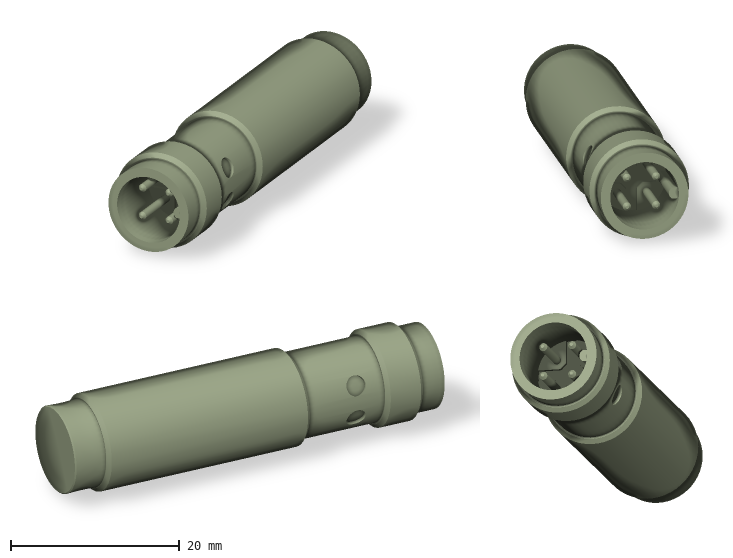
import cadquery as cq
import math

LENGTH = 49.0
FRONT_Y = -LENGTH / 2
REAR_Y = LENGTH / 2

BARREL_DIA = 12.0
NECK_DIA = 10.6
EDGE_CHAMFER = 0.5
COLLAR_START = 3.0
COLLAR_END = 8.0
BARREL_START = 18.0
CAP_LENGTH = 4.0
CAP_END_DIA = 10.8
CAP_WAIST_DIA = 10.65
CAP_CHAMFER = 0.15

WINDOW_DIA = 2.5
WINDOW_POSITION = 11.5
WINDOW_ANGLE = 24.0

INSERT_DIA = 9.75
INSERT_LENGTH = BARREL_START
SOCKET_DIA = 8.3
SOCKET_DEPTH = 8.35

GROOVE_WIDTH = 1.3
GROOVE_DEPTH = 0.5
GROOVE_CORNER = 0.7
KEYED_ARM_REACH = 2.95

KEY_WIDTH = 1.3
KEY_NOSE_DIA = 1.5
KEY_REACH = 3.05
KEY_SETBACK = 0.6

PIN_DIA = 1.0
PIN_TIP_DIA = 0.4
PIN_TIP_LENGTH = 0.4
PIN_SETBACK = 1.6
PIN_OFFSET = 1.75


def plane_at(depth):
    """Plane across the part at a depth behind the connector face; its normal faces -Y."""
    return cq.Plane(origin=(0, FRONT_Y + depth, 0), xDir=(1, 0, 0), normal=(0, -1, 0))


def rod(diameter, start, end):
    """Cylinder on the Y axis between two depths behind the connector face."""
    return cq.Workplane(plane_at(end)).circle(diameter / 2).extrude(end - start)


def chamfered_rod(start, end):
    """Full-diameter cylinder between two depths, chamfered at both ends."""
    return rod(BARREL_DIA, start, end).edges().chamfer(EDGE_CHAMFER)


def make_cap():
    """Rear cap with a slightly waisted side and a small chamfer at its end."""
    base_y = REAR_Y - CAP_LENGTH
    side_end_y = REAR_Y - CAP_CHAMFER
    end_radius = CAP_END_DIA / 2
    return (
        cq.Workplane("XY")
        .moveTo(0, base_y)
        .lineTo(end_radius, base_y)
        .threePointArc((CAP_WAIST_DIA / 2, (base_y + side_end_y) / 2), (end_radius, side_end_y))
        .lineTo(end_radius - CAP_CHAMFER, REAR_Y)
        .lineTo(0, REAR_Y)
        .close()
        .revolve(360, (0, 0, 0), (0, 1, 0))
    )


def make_window(angle):
    """Radial cutter for one window, at an angle from +X about the Y axis."""
    return (
        cq.Workplane("YZ")
        .center(FRONT_Y + WINDOW_POSITION, 0)
        .circle(WINDOW_DIA / 2)
        .extrude(BARREL_DIA / 2)
        .rotate((0, 0, 0), (0, 1, 0), angle)
    )


def make_housing():
    """Stepped tube with collar, barrel and cap, bored from the front for the insert."""
    housing = (
        rod(NECK_DIA, 0, BARREL_START + EDGE_CHAMFER)
        .union(chamfered_rod(COLLAR_START, COLLAR_END))
        .union(chamfered_rod(BARREL_START, LENGTH - CAP_LENGTH))
        .union(make_cap())
        .cut(rod(INSERT_DIA, 0, INSERT_LENGTH))
    )
    for side in (0, 180):
        for tilt in (-WINDOW_ANGLE, WINDOW_ANGLE):
            housing = housing.cut(make_window(side + tilt))
    return housing


def make_groove():
    """Cross-shaped cutter with a chamfered centre; its +X arm stops short of the key."""
    arm_length = SOCKET_DIA / 2
    floor = cq.Workplane(plane_at(SOCKET_DEPTH + GROOVE_DEPTH))
    diamond_dia = 2 * (GROOVE_WIDTH + GROOVE_CORNER)
    upright = floor.rect(GROOVE_WIDTH, 2 * arm_length).extrude(GROOVE_DEPTH)
    crossbar = (
        floor.center((KEYED_ARM_REACH - arm_length) / 2, 0)
        .rect(KEYED_ARM_REACH + arm_length, GROOVE_WIDTH)
        .extrude(GROOVE_DEPTH)
    )
    middle = floor.polygon(4, diamond_dia).extrude(GROOVE_DEPTH)
    socket_bore = rod(SOCKET_DIA, SOCKET_DEPTH, SOCKET_DEPTH + GROOVE_DEPTH)
    return upright.union(crossbar).union(middle).intersect(socket_bore)


def make_key():
    """Round-nosed rib along the socket wall, reaching into the insert wall."""
    half_width = KEY_WIDTH / 2
    nose_radius = KEY_NOSE_DIA / 2
    root_x = (SOCKET_DIA + INSERT_DIA) / 4
    side_x = KEY_REACH + nose_radius - math.sqrt(nose_radius**2 - half_width**2)
    return (
        cq.Workplane(plane_at(SOCKET_DEPTH))
        .moveTo(root_x, -half_width)
        .lineTo(side_x, -half_width)
        .threePointArc((KEY_REACH, 0), (side_x, half_width))
        .lineTo(root_x, half_width)
        .close()
        .extrude(SOCKET_DEPTH - KEY_SETBACK)
    )


def make_pin(x, z):
    """Contact pin standing on the socket floor, with a chamfered tip."""
    return (
        cq.Workplane(plane_at(SOCKET_DEPTH))
        .center(x, z)
        .circle(PIN_DIA / 2)
        .extrude(SOCKET_DEPTH - PIN_SETBACK)
        .faces("<Y")
        .chamfer(PIN_TIP_LENGTH, (PIN_DIA - PIN_TIP_DIA) / 2)
    )


def make_insert():
    """Connector insert: socket with grooved floor, coding key and four contact pins."""
    insert = (
        rod(INSERT_DIA, 0, INSERT_LENGTH)
        .cut(rod(SOCKET_DIA, 0, SOCKET_DEPTH))
        .cut(make_groove())
        .union(make_key())
    )
    for x in (-PIN_OFFSET, PIN_OFFSET):
        for z in (-PIN_OFFSET, PIN_OFFSET):
            insert = insert.union(make_pin(x, z))
    return insert


housing = make_housing()
insert = make_insert()

result = cq.Compound.makeCompound([housing.val(), insert.val()])